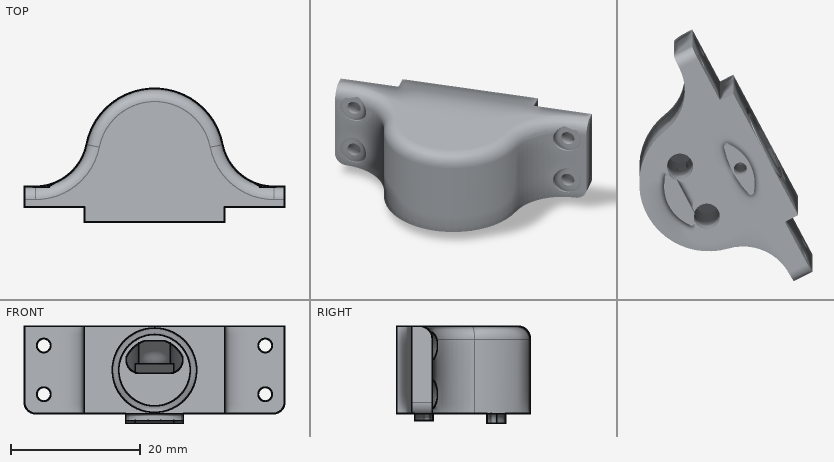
import cadquery as cq
import math

LENGTH = 40.1
DEPTH = 20.6
HEIGHT = 13.5
BLOCK_LENGTH = 21.6
BLOCK_DEPTH = 2.3
FLANGE_BACK = 5.5

DOME_RADIUS = 10.7
DOME_CENTER_Y = DEPTH - DOME_RADIUS
BLEND_RADIUS = 8.0
TOP_FILLET = 2.0
FLANGE_CORNER_RADIUS = 1.8

HOLE_SPACING_X = 34.1
HOLE_SPACING_Z = 7.5
HOLE_MID_Z = 6.75
HOLE_DIAMETER = 2.1
HEAD_DIAMETER = 4.3
HEAD_SEAT_Y = 5.4

GROOVE_CENTER_Z = 6.7
GROOVE_OUTER_RADIUS = 6.5
GROOVE_INNER_RADIUS = 5.5
GROOVE_DEPTH = 0.75

PORT_WIDTH = 8.7
PORT_BOTTOM = 6.25
PORT_TOP = 11.2
PORT_CORNER_RADIUS = 2.0
PORT_MARGIN = 0.72

BORE_RADIUS = 2.0
BORE_X = 4.45
BORE_Y = 12.55
SILL_HALF_WIDTH = 2.95
SILL_TOP = 7.7
SILL_Y = BORE_Y + math.sqrt(BORE_RADIUS**2 - (BORE_X - SILL_HALF_WIDTH) ** 2)

LUG_HALF_WIDTH = 4.45
FRONT_LUG_ARC_HALF_WIDTH = 4.15
FRONT_LUG_OUTER_Y = 2.75
FRONT_LUG_OUTER_END_Y = 4.2
FRONT_LUG_INNER_END_Y = 5.07
FRONT_LUG_INNER_Y = 5.65
FRONT_LUG_HEIGHT = 1.07
BACK_LUG_ARC_HALF_WIDTH = 4.05
BACK_LUG_OUTER_Y = 16.8
BACK_LUG_OUTER_END_Y = 15.4
BACK_LUG_HEIGHT = 1.5
BACK_LUG_INNER_END_Y = BORE_Y + math.sqrt(BORE_RADIUS**2 - (BORE_X - BACK_LUG_ARC_HALF_WIDTH) ** 2)

PIN_HOLE_RADIUS = 1.0
PIN_HOLE_Y = 4.4


def box(x_min, x_max, y_min, y_max, z_min, z_max):
    size = (x_max - x_min, y_max - y_min, z_max - z_min)
    return cq.Workplane("XY").box(*size, centered=False).translate((x_min, y_min, z_min))


def cylinder_along_y(radius, x, z, y_start, y_end):
    axis = cq.Vector(0, 1, 0)
    return cq.Workplane(cq.Solid.makeCylinder(radius, y_end - y_start, cq.Vector(x, y_start, z), axis))


def cylinder_along_z(radius, x, y, z_start, z_end):
    return cq.Workplane(cq.Solid.makeCylinder(radius, z_end - z_start, cq.Vector(x, y, z_start)))


def make_body():
    half_length = LENGTH / 2
    half_block = BLOCK_LENGTH / 2

    blend_y = FLANGE_BACK + BLEND_RADIUS
    center_distance = DOME_RADIUS + BLEND_RADIUS
    blend_x = math.sqrt(center_distance**2 - (blend_y - DOME_CENTER_Y) ** 2)
    tangent_x = blend_x * DOME_RADIUS / center_distance
    tangent_y = DOME_CENTER_Y + (blend_y - DOME_CENTER_Y) * DOME_RADIUS / center_distance
    start_angle = math.atan2(tangent_y - blend_y, tangent_x - blend_x) % (2 * math.pi)
    mid_angle = (start_angle + 1.5 * math.pi) / 2
    mid_x = blend_x + BLEND_RADIUS * math.cos(mid_angle)
    mid_y = blend_y + BLEND_RADIUS * math.sin(mid_angle)

    body = (
        cq.Workplane("XY")
        .moveTo(-half_block, 0)
        .lineTo(half_block, 0)
        .lineTo(half_block, BLOCK_DEPTH)
        .lineTo(half_length, BLOCK_DEPTH)
        .lineTo(half_length, FLANGE_BACK)
        .lineTo(blend_x, FLANGE_BACK)
        .threePointArc((mid_x, mid_y), (tangent_x, tangent_y))
        .threePointArc((0, DEPTH), (-tangent_x, tangent_y))
        .threePointArc((-mid_x, mid_y), (-blend_x, FLANGE_BACK))
        .lineTo(-half_length, FLANGE_BACK)
        .lineTo(-half_length, BLOCK_DEPTH)
        .lineTo(-half_block, BLOCK_DEPTH)
        .close()
        .extrude(HEIGHT)
    )
    body = body.edges(cq.selectors.NearestToPointSelector((0, DEPTH, HEIGHT))).fillet(TOP_FILLET)
    flange_corners = body.edges("|Y").edges("<X or >X").edges("<Z")
    return flange_corners.fillet(FLANGE_CORNER_RADIUS)


def cut_mounting_holes(body):
    for side_x in (-1, 1):
        for side_z in (-1, 1):
            x = side_x * HOLE_SPACING_X / 2
            z = HOLE_MID_Z + side_z * HOLE_SPACING_Z / 2
            body = body.cut(cylinder_along_y(HOLE_DIAMETER / 2, x, z, 0, DEPTH))
            body = body.cut(cylinder_along_y(HEAD_DIAMETER / 2, x, z, HEAD_SEAT_Y, DEPTH))
    return body


def make_groove():
    outer = cylinder_along_y(GROOVE_OUTER_RADIUS, 0, GROOVE_CENTER_Z, 0, GROOVE_DEPTH)
    inner = cylinder_along_y(GROOVE_INNER_RADIUS, 0, GROOVE_CENTER_Z, 0, GROOVE_DEPTH)
    return outer.cut(inner)


def make_bores(z_start, z_end):
    left = cylinder_along_z(BORE_RADIUS, -BORE_X, BORE_Y, z_start, z_end)
    right = cylinder_along_z(BORE_RADIUS, BORE_X, BORE_Y, z_start, z_end)
    return left.union(right)


def make_port():
    half_width = PORT_WIDTH / 2
    port = box(-half_width, half_width, 0, BORE_Y, PORT_BOTTOM, PORT_TOP)
    port = port.edges("|Y").fillet(PORT_CORNER_RADIUS)
    clip_radius = GROOVE_INNER_RADIUS - PORT_MARGIN
    port = port.intersect(cylinder_along_y(clip_radius, 0, GROOVE_CENTER_Z, 0, BORE_Y))
    return port.union(box(-SILL_HALF_WIDTH, SILL_HALF_WIDTH, BORE_Y, SILL_Y, PORT_BOTTOM, SILL_TOP))


def make_front_lug():
    arc_x = FRONT_LUG_ARC_HALF_WIDTH
    end_y = (FRONT_LUG_OUTER_END_Y + FRONT_LUG_INNER_END_Y) / 2
    return (
        cq.Workplane("XY")
        .moveTo(-arc_x, FRONT_LUG_OUTER_END_Y)
        .threePointArc((0, FRONT_LUG_OUTER_Y), (arc_x, FRONT_LUG_OUTER_END_Y))
        .threePointArc((LUG_HALF_WIDTH, end_y), (arc_x, FRONT_LUG_INNER_END_Y))
        .threePointArc((0, FRONT_LUG_INNER_Y), (-arc_x, FRONT_LUG_INNER_END_Y))
        .threePointArc((-LUG_HALF_WIDTH, end_y), (-arc_x, FRONT_LUG_OUTER_END_Y))
        .close()
        .extrude(-FRONT_LUG_HEIGHT)
    )


def make_back_lug():
    arc_x = BACK_LUG_ARC_HALF_WIDTH
    end_y = (BACK_LUG_OUTER_END_Y + BACK_LUG_INNER_END_Y) / 2
    lug = (
        cq.Workplane("XY")
        .moveTo(arc_x, BACK_LUG_OUTER_END_Y)
        .threePointArc((0, BACK_LUG_OUTER_Y), (-arc_x, BACK_LUG_OUTER_END_Y))
        .threePointArc((-LUG_HALF_WIDTH, end_y), (-arc_x, BACK_LUG_INNER_END_Y))
        .lineTo(-arc_x, SILL_Y)
        .lineTo(arc_x, SILL_Y)
        .lineTo(arc_x, BACK_LUG_INNER_END_Y)
        .threePointArc((LUG_HALF_WIDTH, end_y), (arc_x, BACK_LUG_OUTER_END_Y))
        .close()
        .extrude(-BACK_LUG_HEIGHT)
    )
    return lug.cut(make_bores(-BACK_LUG_HEIGHT, 0))


result = cut_mounting_holes(make_body())
result = result.union(make_front_lug()).union(make_back_lug())
result = result.cut(make_groove()).cut(make_port())
result = result.cut(make_bores(0, PORT_TOP))
result = result.cut(cylinder_along_z(PIN_HOLE_RADIUS, 0, PIN_HOLE_Y, -FRONT_LUG_HEIGHT, PORT_BOTTOM))